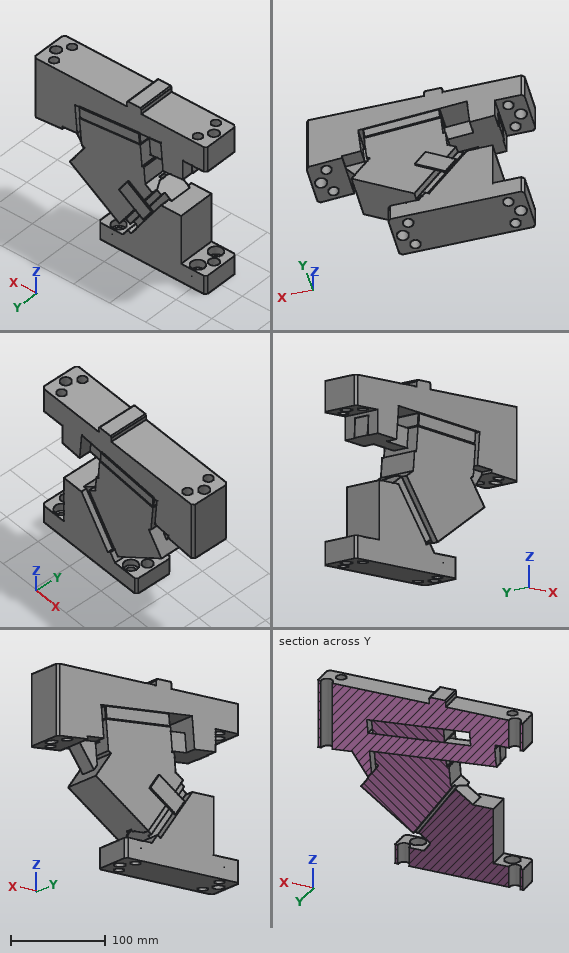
import cadquery as cq
import math

LENGTH = 240.0
WIDTH = 50.0
CORNER_CHAMFER = 3.0

DOWEL_DIAMETER = 13.0
DOWEL_INSET = 10.0
BOLT_DIAMETER = 11.3
BOLT_INSET = 20.0
BOLT_OFFSET = 15.0
COUNTERBORE_DIAMETER = 17.5
COUNTERBORE_FLOOR = 14.5

BASE_TOP = 200.0
PLATE_BOTTOM = 166.3
LEFT_LEG_X = 32.2
KEY_LEFT = 90.0
KEY_WIDTH = 20.2
KEY_HEIGHT = 7.7
KEY_CHAMFER_RUN = 1.2
KEY_CHAMFER_RISE = 2.2

TILT = math.radians(5)
OPENING_START = 47.5
OPENING_LENGTH = 120.0
OPENING_END = OPENING_START + OPENING_LENGTH
OPENING_TOP = 179.8
LEG_BOTTOM = 142.8
FOOT_DROP = 3.0
BAR_START = 18.7
BAR_END = 188.6
BAR_HEIGHT = 21.8
BAR_WIDTH = 20.2
BAR_TOP = LEG_BOTTOM + BAR_HEIGHT
STOP_ANGLE = math.radians(30)

SLIDER_START = 77.5
SLIDER_LENGTH = 85.0
SLIDER_END = SLIDER_START + SLIDER_LENGTH
SLIDER_STEP = 2.6
SLIDER_STEP_UP = 136.5
WEAR_PLATE_CHAMFER = 1.0

RAMP = math.radians(55)
SLIDER_RAMP_START = -39.5
SLIDER_RAMP_LENGTH = 80.0
SLIDER_RAMP_END = SLIDER_RAMP_START + SLIDER_RAMP_LENGTH
SLIDER_SHOULDER_DOWN = 5.3
SLIDER_UNDERSIDE = 119.0
SLIDER_BACK_HEIGHT = 84.5
SLIDER_BACK = SLIDER_UNDERSIDE + SLIDER_BACK_HEIGHT
RETAINER_THICKNESS = 2.2
RETAINER_START = -20.2
RETAINER_LENGTH = 20.5
RETAINER_BOTTOM = 104.6
RETAINER_HEIGHT = 41.0

DRIVER_LENGTH = 150.0
LEFT_FOOT_HEIGHT = 25.0
RIGHT_FOOT_HEIGHT = 22.8
COLUMN_X = 34.5
COLUMN_HEIGHT = 90.0
DRIVER_FACE = 108.0
SEAT_FACE = 103.0
GUIDE_START = -40.0
GUIDE_LENGTH = 75.4
GUIDE_END = GUIDE_START + GUIDE_LENGTH
GUIDE_HALF_WIDTH = 18.0
GUIDE_SHOULDER = 118.5
GUIDE_FLAT_HALF_WIDTH = 6.7
GUIDE_SLOPE = math.radians(30)
GUIDE_SLOPE_RUN = GUIDE_HALF_WIDTH - GUIDE_FLAT_HALF_WIDTH
GUIDE_TOP = GUIDE_SHOULDER + GUIDE_SLOPE_RUN * math.tan(GUIDE_SLOPE)
GUIDE_ROOT_DEPTH = 4.8
GUIDE_ROOT = SEAT_FACE - GUIDE_ROOT_DEPTH
NOTCH_DEPTH = 5.8
NOTCH_TOP = 111.4
RELIEF_HALF_WIDTH = 3.8
RELIEF_HEIGHT = 3.4


def tilted(along, up):
    """Point (x, z) given in the tilted frame of the guide bar."""
    return (along * math.cos(TILT) + up * math.sin(TILT), up * math.cos(TILT) - along * math.sin(TILT))


def ramped(down, out):
    """Point (x, z) given in the frame of the ramp."""
    return (down * math.cos(RAMP) + out * math.sin(RAMP), out * math.cos(RAMP) - down * math.sin(RAMP))


def along_line(along):
    """Line square to the guide bar, as (a, b, c) of a*x + b*z = c."""
    return (math.cos(TILT), -math.sin(TILT), along)


def up_line(up):
    """Line parallel to the guide bar."""
    return (math.sin(TILT), math.cos(TILT), up)


def down_line(down):
    """Line square to the ramp."""
    return (math.cos(RAMP), -math.sin(RAMP), down)


def out_line(out):
    """Line parallel to the ramp."""
    return (math.sin(RAMP), math.cos(RAMP), out)


def level_line(z):
    """Horizontal line."""
    return (0.0, 1.0, z)


def upright_line(x):
    """Vertical line."""
    return (1.0, 0.0, x)


def meet(line1, line2):
    """Point (x, z) where two lines cross."""
    a1, b1, c1 = line1
    a2, b2, c2 = line2
    det = a1 * b2 - a2 * b1
    return ((c1 * b2 - c2 * b1) / det, (a1 * c2 - a2 * c1) / det)


def prism(points, width):
    """Outline of (x, z) points extruded to a width centred on Y = 0."""
    return cq.Workplane("XZ").polyline(points).close().extrude(width / 2, both=True)


def tilted_block(start, end, bottom, top, width):
    """Rectangular block in the tilted frame of the guide bar."""
    corners = [tilted(start, bottom), tilted(end, bottom), tilted(end, top), tilted(start, top)]
    return prism(corners, width)


def across_ramp(points, start, end):
    """Section of (y, out) points extruded down the ramp."""
    x, z = ramped(start, 0)
    section_plane = cq.Plane(
        origin=(x, 0, z),
        xDir=(0, 1, 0),
        normal=(math.cos(RAMP), 0, -math.sin(RAMP)),
    )
    return cq.Workplane(section_plane).polyline(points).close().extrude(end - start)


def drill(body, places, diameter, top, depth):
    """Vertical round holes going down from a height."""
    holes = cq.Workplane("XY", origin=(0, 0, top)).pushPoints(places).circle(diameter / 2).extrude(-depth)
    return body.cut(holes)


def dowel_places(length):
    """One dowel hole near each end of a body."""
    return [(DOWEL_INSET, 0), (length - DOWEL_INSET, 0)]


def bolt_places(x):
    """A pair of bolt holes across the width."""
    return [(x, -BOLT_OFFSET), (x, BOLT_OFFSET)]


def chamfered_footprint(length, height):
    """Block with chamfered upright corners that bounds a body from outside."""
    block = cq.Workplane("XY").box(length, WIDTH, height, centered=(False, True, False))
    return block.edges("|Z").chamfer(CORNER_CHAMFER)


def make_base():
    key_right = KEY_LEFT + KEY_WIDTH
    key_top = BASE_TOP + KEY_HEIGHT
    outline = [
        (0, PLATE_BOTTOM),
        (LEFT_LEG_X, PLATE_BOTTOM),
        meet(upright_line(LEFT_LEG_X), up_line(LEG_BOTTOM)),
        tilted(OPENING_START, LEG_BOTTOM),
        tilted(OPENING_START, OPENING_TOP),
        tilted(OPENING_END, OPENING_TOP),
        tilted(OPENING_END, LEG_BOTTOM),
        tilted(BAR_END, LEG_BOTTOM),
        tilted(BAR_END, LEG_BOTTOM - FOOT_DROP),
        meet(upright_line(LENGTH), up_line(LEG_BOTTOM - FOOT_DROP)),
        (LENGTH, BASE_TOP),
        (key_right, BASE_TOP),
        (key_right, key_top - KEY_CHAMFER_RISE),
        (key_right - KEY_CHAMFER_RUN, key_top),
        (KEY_LEFT + KEY_CHAMFER_RUN, key_top),
        (KEY_LEFT, key_top - KEY_CHAMFER_RISE),
        (KEY_LEFT, BASE_TOP),
        (0, BASE_TOP),
    ]
    base = prism(outline, WIDTH).intersect(chamfered_footprint(LENGTH, key_top))

    base = base.cut(tilted_block(0, BAR_START, LEG_BOTTOM, BAR_TOP, BAR_WIDTH))
    base = base.union(tilted_block(BAR_START, BAR_END, LEG_BOTTOM, BAR_TOP, BAR_WIDTH))

    rib_foot = tilted(BAR_END, LEG_BOTTOM - FOOT_DROP)
    slope = TILT + STOP_ANGLE
    slope_offset = rib_foot[0] * math.cos(slope) - rib_foot[1] * math.sin(slope)
    rib_slope = (math.cos(slope), -math.sin(slope), slope_offset)
    rib = [
        tilted(OPENING_END, LEG_BOTTOM),
        meet(along_line(OPENING_END), out_line(SLIDER_BACK)),
        meet(rib_slope, out_line(SLIDER_BACK)),
        rib_foot,
        tilted(BAR_END, LEG_BOTTOM),
    ]
    base = base.union(prism(rib, BAR_WIDTH))

    base = drill(base, dowel_places(LENGTH), DOWEL_DIAMETER, BASE_TOP, BASE_TOP)
    for x in (BOLT_INSET, LENGTH - BOLT_INSET):
        base = drill(base, bolt_places(x), BOLT_DIAMETER, BASE_TOP, BASE_TOP)
    return base


def guide_roof(bottom):
    """Section (y, out) of the roof-shaped guide, from a bottom up to its flat top."""
    return [
        (-GUIDE_HALF_WIDTH, bottom),
        (GUIDE_HALF_WIDTH, bottom),
        (GUIDE_HALF_WIDTH, GUIDE_SHOULDER),
        (GUIDE_FLAT_HALF_WIDTH, GUIDE_TOP),
        (-GUIDE_FLAT_HALF_WIDTH, GUIDE_TOP),
        (-GUIDE_HALF_WIDTH, GUIDE_SHOULDER),
    ]


def section_rectangle(y_start, y_end, bottom, top):
    """Rectangular section (y, out)."""
    return [(y_start, bottom), (y_end, bottom), (y_end, top), (y_start, top)]


def make_slider():
    outline = [
        tilted(SLIDER_START, BAR_TOP),
        tilted(SLIDER_START, SLIDER_STEP_UP),
        tilted(SLIDER_START - SLIDER_STEP, SLIDER_STEP_UP),
        meet(along_line(SLIDER_START - SLIDER_STEP), down_line(SLIDER_RAMP_START)),
        ramped(SLIDER_RAMP_START, SLIDER_UNDERSIDE),
        ramped(SLIDER_RAMP_END, SLIDER_UNDERSIDE),
        ramped(SLIDER_RAMP_END, SLIDER_BACK),
        ramped(SLIDER_SHOULDER_DOWN, SLIDER_BACK),
        meet(down_line(SLIDER_SHOULDER_DOWN), along_line(SLIDER_END)),
        tilted(SLIDER_END, BAR_TOP),
    ]
    slider = prism(outline, WIDTH)

    slider = slider.cut(tilted_block(SLIDER_START, SLIDER_END, LEG_BOTTOM, BAR_TOP, BAR_WIDTH))
    wear_plate = tilted_block(SLIDER_START, SLIDER_END, BAR_TOP, OPENING_TOP, WIDTH)
    slider = slider.union(wear_plate.edges().chamfer(WEAR_PLATE_CHAMFER))

    slider = slider.cut(across_ramp(guide_roof(SEAT_FACE), SLIDER_RAMP_START, SLIDER_RAMP_END))
    relief = section_rectangle(
        -RELIEF_HALF_WIDTH, RELIEF_HALF_WIDTH, SEAT_FACE, GUIDE_TOP + RELIEF_HEIGHT
    )
    slider = slider.cut(across_ramp(relief, SLIDER_RAMP_START, SLIDER_RAMP_END))

    side = WIDTH / 2
    retainer = section_rectangle(
        side, side + RETAINER_THICKNESS, RETAINER_BOTTOM, RETAINER_BOTTOM + RETAINER_HEIGHT
    )
    return slider.union(across_ramp(retainer, RETAINER_START, RETAINER_START + RETAINER_LENGTH))


def make_driver():
    outline = [
        (0, 0),
        (DRIVER_LENGTH, 0),
        (DRIVER_LENGTH, RIGHT_FOOT_HEIGHT),
        meet(level_line(RIGHT_FOOT_HEIGHT), out_line(DRIVER_FACE)),
        ramped(GUIDE_END, DRIVER_FACE),
        ramped(GUIDE_END, SEAT_FACE),
        meet(level_line(COLUMN_HEIGHT), out_line(SEAT_FACE)),
        (COLUMN_X, COLUMN_HEIGHT),
        (COLUMN_X, LEFT_FOOT_HEIGHT),
        (0, LEFT_FOOT_HEIGHT),
    ]
    driver = prism(outline, WIDTH).intersect(chamfered_footprint(DRIVER_LENGTH, COLUMN_HEIGHT))

    guide = across_ramp(guide_roof(GUIDE_ROOT), GUIDE_START, GUIDE_END)
    notch = section_rectangle(
        GUIDE_HALF_WIDTH - NOTCH_DEPTH, GUIDE_HALF_WIDTH, GUIDE_ROOT, NOTCH_TOP
    )
    driver = driver.union(guide.cut(across_ramp(notch, GUIDE_START, GUIDE_END)))

    driver = drill(driver, dowel_places(DRIVER_LENGTH), DOWEL_DIAMETER, LEFT_FOOT_HEIGHT, LEFT_FOOT_HEIGHT)
    feet = [(BOLT_INSET, LEFT_FOOT_HEIGHT), (DRIVER_LENGTH - BOLT_INSET, RIGHT_FOOT_HEIGHT)]
    for x, top in feet:
        driver = drill(driver, bolt_places(x), BOLT_DIAMETER, top, top)
        driver = drill(driver, bolt_places(x), COUNTERBORE_DIAMETER, top, top - COUNTERBORE_FLOOR)
    return driver


base = make_base()
slider = make_slider()
driver = make_driver()

result = cq.Compound.makeCompound([base.solids().val(), slider.solids().val(), driver.solids().val()])